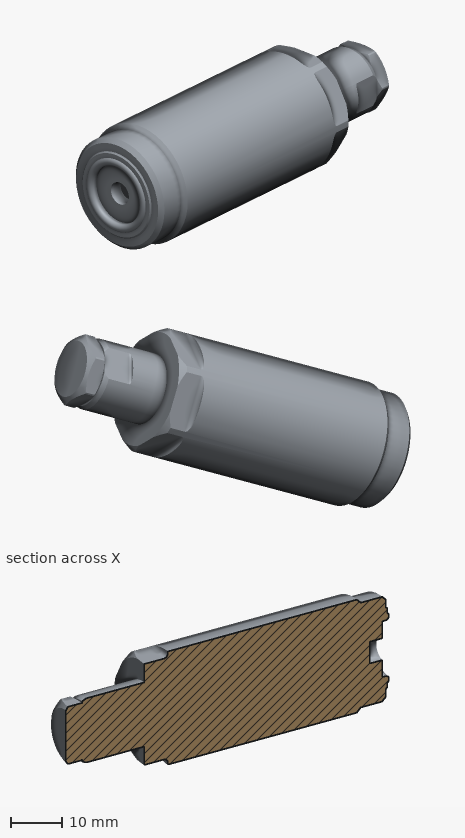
import cadquery as cq
import math

LENGTH = 73.75

BARREL_DIAMETER = 25.15
BARREL_RADIUS = BARREL_DIAMETER / 2
COLLAR_RADIUS = 11.65
COLLAR_FACE_Y = 0.75
COLLAR_CHAMFER = 0.9
BARREL_START_Y = 6.5
BARREL_CHAMFER = BARREL_RADIUS - COLLAR_RADIUS

PLATE_RADIUS = 9.1
PLATE_TOP_RADIUS = 8.8
PLATE_Y = 0.45
RING_INNER_RADIUS = 6.1
RING_OUTER_RADIUS = 7.9
BORE_RADIUS = 2.35
BORE_DEPTH = 4.4
RECESS_DEPTH = 1.55
RING_SECTION_RADIUS = (RING_OUTER_RADIUS - RING_INNER_RADIUS) / 2
RING_CREST_RADIUS = (RING_OUTER_RADIUS + RING_INNER_RADIUS) / 2

HEX_START_Y = 50.5
HEX_END_Y = 55.9
HEX_ACROSS_FLATS = 22.4
HEX_RUNOUT_RADIUS = 0.9
HEX_CHAMFER_LENGTH = 1.1
HEX_FACE_RADIUS = 11.5

NECK_RADIUS = 7.15
NECK_END_Y = 70.05
NECK_TAPER_LENGTH = 1.0
NECK_END_RADIUS = 6.7
FLAT_START_Y = 63.8
FLAT_DISTANCE = 6.35
FLAT_RUNOUT_RADIUS = 0.45

NUT_DIAMETER = 14.5
NUT_RADIUS = NUT_DIAMETER / 2
NUT_ACROSS_FLATS = 12.75
NUT_FRONT_RADIUS = 6.3
NUT_FRONT_CHAMFER = 0.6
NUT_END_RADIUS = 5.7
NUT_END_CHAMFER = 1.0


def revolve_profile(points):
    """Revolve (radius, Y) points, starting and ending on the axis, about Y."""
    return cq.Workplane("XY").polyline(points).close().revolve(360, (0, 0, 0), (0, 1, 0))


def hex_prism(across_flats, start_y, end_y):
    """Hexagon along Y with two corners pointing along X."""
    corner_diameter = across_flats / math.cos(math.pi / 6)
    plane = cq.Workplane("XZ", origin=(0, start_y, 0))
    return plane.polygon(6, corner_diameter).extrude(start_y - end_y)


def make_barrel():
    return revolve_profile([
        (0, PLATE_Y),
        (PLATE_TOP_RADIUS, PLATE_Y),
        (PLATE_RADIUS, COLLAR_FACE_Y),
        (COLLAR_RADIUS - COLLAR_CHAMFER, COLLAR_FACE_Y),
        (COLLAR_RADIUS, COLLAR_FACE_Y + COLLAR_CHAMFER),
        (COLLAR_RADIUS, BARREL_START_Y),
        (BARREL_RADIUS, BARREL_START_Y + BARREL_CHAMFER),
        (BARREL_RADIUS, HEX_END_Y - HEX_CHAMFER_LENGTH),
        (HEX_FACE_RADIUS, HEX_END_Y),
        (0, HEX_END_Y),
    ])


def make_hex_cutter():
    """Everything outside the wrench hexagon, with rounded ends where the flats run out."""
    stock = cq.Workplane("XZ", origin=(0, HEX_START_Y, 0)).circle(2 * BARREL_RADIUS)
    stock = stock.extrude(HEX_START_Y - HEX_END_Y)
    core = hex_prism(HEX_ACROSS_FLATS, HEX_START_Y, HEX_END_Y)
    cutter = stock.cut(core)
    hex_edges = cutter.faces("<Y").edges("%LINE")
    return hex_edges.fillet(HEX_RUNOUT_RADIUS)


def make_neck():
    neck = revolve_profile([
        (0, HEX_END_Y),
        (NECK_RADIUS, HEX_END_Y),
        (NECK_RADIUS, NECK_END_Y - NECK_TAPER_LENGTH),
        (NECK_END_RADIUS, NECK_END_Y),
        (0, NECK_END_Y),
    ])
    for side in (-1, 1):
        block_centre_x = side * (FLAT_DISTANCE + NECK_RADIUS / 2)
        block = cq.Workplane("XY", origin=(block_centre_x, FLAT_START_Y, 0))
        cutter = block.box(
            NECK_RADIUS, NECK_END_Y - FLAT_START_Y, 2 * NECK_RADIUS, centered=(True, False, True)
        )
        inner_side = "<X" if side > 0 else ">X"
        cutter = cutter.faces(inner_side).edges("<Y").fillet(FLAT_RUNOUT_RADIUS)
        neck = neck.cut(cutter)
    return neck


def make_nut():
    envelope = revolve_profile([
        (0, NECK_END_Y),
        (NUT_FRONT_RADIUS, NECK_END_Y),
        (NUT_RADIUS, NECK_END_Y + NUT_FRONT_CHAMFER),
        (NUT_RADIUS, LENGTH - NUT_END_CHAMFER),
        (NUT_END_RADIUS, LENGTH),
        (0, LENGTH),
    ])
    return envelope.intersect(hex_prism(NUT_ACROSS_FLATS, NECK_END_Y, LENGTH))


def make_sealing_ring():
    """Ring of round section whose crest is the foremost point of the part."""
    section = cq.Workplane("XY").center(RING_CREST_RADIUS, RING_SECTION_RADIUS)
    section = section.circle(RING_SECTION_RADIUS)
    return section.revolve(360, (-RING_CREST_RADIUS, 0, 0), (-RING_CREST_RADIUS, 1, 0))


def make_recess():
    """Shallow straight-walled recess inside the sealing ring."""
    return cq.Workplane("XZ").circle(RING_INNER_RADIUS).extrude(-RECESS_DEPTH)


def make_ring_clearance():
    """Opens the face out to the crest of the ring, so the inner half of the ring is exposed."""
    return cq.Workplane("XZ").circle(RING_CREST_RADIUS).extrude(-RING_SECTION_RADIUS)


def make_bore():
    return cq.Workplane("XZ").circle(BORE_RADIUS).extrude(-BORE_DEPTH)


barrel = make_barrel().cut(make_hex_cutter()).cut(make_ring_clearance())
result = barrel.union(make_neck()).union(make_nut()).union(make_sealing_ring())
result = result.cut(make_recess()).cut(make_bore())